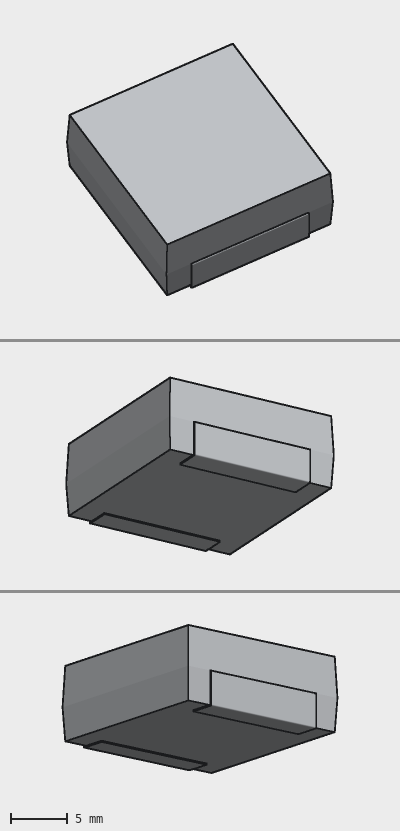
import cadquery as cq

overall_length = 17.82
body_width = 16.85
overall_height = 7.0

strip_thickness = 0.13
foot_thickness = 0.12
bend_radius = 0.12
terminal_width = 11.85
foot_length = 2.5

body_length = overall_length - 2 * strip_thickness
parting_height = 3.22
terminal_height = parting_height
side_inset = 0.17


def make_half(end_height):
    """Return the tapered half between the parting line and the end face at the given height."""
    return (
        cq.Workplane("XY")
        .workplane(offset=parting_height)
        .rect(body_length, body_width)
        .workplane(offset=end_height - parting_height)
        .rect(body_length - 2 * side_inset, body_width - 2 * side_inset)
        .loft(ruled=True)
    )


def make_body():
    """Return the body, which rests on top of the terminal feet."""
    upper_half = make_half(overall_height)
    lower_half = make_half(foot_thickness)
    return upper_half.union(lower_half)


def make_terminal(side):
    """Return one L-shaped terminal; side is -1 for -X and +1 for +X."""
    outer_x = side * overall_length / 2
    inner_x = side * body_length / 2
    foot_end_x = outer_x - side * foot_length
    outer_face = ">X" if side > 0 else "<X"
    return (
        cq.Workplane("XZ")
        .moveTo(outer_x, 0)
        .lineTo(outer_x, terminal_height)
        .lineTo(inner_x, terminal_height)
        .lineTo(inner_x, foot_thickness)
        .lineTo(foot_end_x, foot_thickness)
        .lineTo(foot_end_x, 0)
        .close()
        .extrude(terminal_width / 2, both=True)
        .faces(outer_face)
        .edges("|Y")
        .fillet(bend_radius)
    )


body = make_body()
terminals = [make_terminal(side) for side in (-1, 1)]

result = cq.Compound.makeCompound([body.val(), *[terminal.val() for terminal in terminals]])